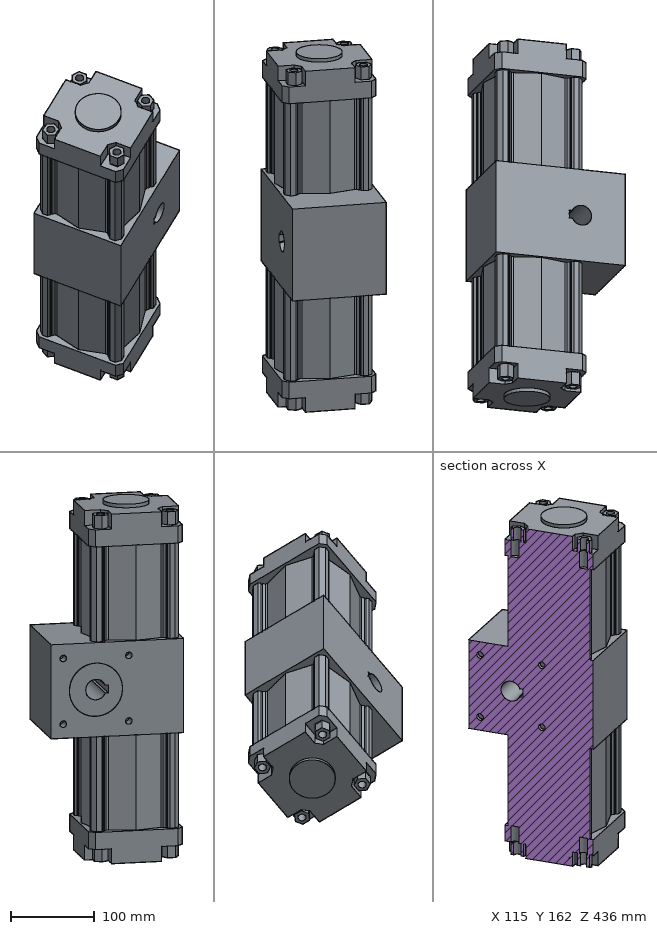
import cadquery as cq
import math


body_width = 115.0
body_height = body_width
body_length = 162.0
body_front = -body_width / 2

bore_y = 49.5
bore_diameter = 25.0
keyway_width = 9.5
keyway_reach = 15.3
recess_diameter = 65.0
recess_depth = 1.0
mount_spacing = 80.2
mount_diameter = 8.0
mount_depth = 17.5

total_height = 436.0
boss_diameter = 55.0
boss_height = 4.5
cap_height = 39.2
cap_chamfer = 7.0
pocket_size = 27.0
pocket_depth = 18.5
pocket_chamfer = 7.5

nut_sides = 6
nut_corners = 19.5
nut_height = 16.0
nut_bore = 9.5
rod_hole_diameter = 10.0
rod_offset = 44.5
nut_offset = 41.5

ridge_offset = 55.0
valley_across = 32.3
valley_offset = 46.5
lug_foot_across = 35.0
lug_foot_offset = 47.0
lug_half_width = 53.5
lug_chamfer = 5.5
groove_width = 1.7
groove_depth = 1.5

body_top = body_height / 2
cap_top = total_height / 2 - boss_height
cap_bottom = cap_top - cap_height
tube_length = cap_bottom - body_top
pocket_floor = cap_top - pocket_depth
lug_flat_start = lug_foot_across + lug_half_width - lug_foot_offset
quarter_turns = (0, 90, 180, 270)


def turned(point, angle):
    """Rotate an (x, y) point about the cylinder axis by an angle in degrees."""
    x, y = point
    c = math.cos(math.radians(angle))
    s = math.sin(math.radians(angle))
    return (x * c - y * s, x * s + y * c)


def make_housing():
    housing = cq.Workplane("XY").box(body_width, body_length, body_height, centered=(True, False, True))
    housing = housing.translate((0, body_front, 0))
    face = cq.Workplane(cq.Plane((-body_width / 2, bore_y, 0), xDir=(0, -1, 0), normal=(-1, 0, 0)))
    recess = face.circle(recess_diameter / 2).extrude(-recess_depth)
    bore = face.circle(bore_diameter / 2).extrude(-body_width)
    keyway = face.center(keyway_reach / 2, 0).rect(keyway_reach, keyway_width).extrude(-body_width)
    mounts = (
        face.rect(mount_spacing, mount_spacing, forConstruction=True)
        .vertices()
        .circle(mount_diameter / 2)
        .extrude(-mount_depth)
    )
    return housing.cut(recess).cut(bore).cut(keyway).cut(mounts)


def make_tube():
    half_side = [
        (ridge_offset, 0),
        (valley_offset, valley_across),
        (lug_foot_offset, lug_foot_across),
        (lug_half_width, lug_flat_start),
        (lug_half_width, lug_half_width - lug_chamfer),
    ]
    mirrored_half = [(y, x) for x, y in reversed(half_side[1:])]
    outline = [turned(p, a) for a in quarter_turns for p in half_side + mirrored_half]
    tube = cq.Workplane("XY", origin=(0, 0, body_top)).polyline(outline).close().extrude(tube_length)

    flank_x = (lug_foot_offset + lug_half_width) / 2
    flank_y = (lug_foot_across + lug_flat_start) / 2
    groove = cq.Workplane("XY").box(2 * groove_depth, groove_width, tube_length, centered=(True, True, False))
    upper_groove = groove.rotate((0, 0, 0), (0, 0, 1), -45).translate((flank_x, flank_y, body_top))
    groove_pair = upper_groove.union(upper_groove.mirror("XZ"))
    for angle in quarter_turns:
        tube = tube.cut(groove_pair.rotate((0, 0, 0), (0, 0, 1), angle))
    return tube


def make_cap():
    cap = (
        cq.Workplane("XY", origin=(0, 0, cap_bottom))
        .rect(body_width, body_width)
        .extrude(cap_height)
        .edges("|Z")
        .chamfer(cap_chamfer)
    )
    boss = cq.Workplane("XY", origin=(0, 0, cap_top)).circle(boss_diameter / 2).extrude(boss_height)
    pocket = (
        cq.Workplane("XY", origin=(body_width / 2, body_width / 2, pocket_floor))
        .rect(2 * pocket_size, 2 * pocket_size)
        .extrude(pocket_depth)
        .edges("|Z")
        .chamfer(pocket_chamfer)
    )
    rod_hole = (
        cq.Workplane("XY", origin=(rod_offset, rod_offset, cap_bottom))
        .circle(rod_hole_diameter / 2)
        .extrude(pocket_floor - cap_bottom)
    )
    nut = (
        cq.Workplane("XY", origin=(nut_offset, rod_offset, pocket_floor))
        .transformed(rotate=(0, 0, 90))
        .polygon(nut_sides, nut_corners)
        .circle(nut_bore / 2)
        .extrude(nut_height)
    )
    cap = cap.union(boss)
    corner_cut = pocket.union(rod_hole)
    for angle in quarter_turns:
        cap = cap.cut(corner_cut.rotate((0, 0, 0), (0, 0, 1), angle))
        cap = cap.union(nut.rotate((0, 0, 0), (0, 0, 1), angle))
    return cap


upper_cylinder = make_tube().union(make_cap())
lower_cylinder = upper_cylinder.mirror("XY")
result = make_housing().union(upper_cylinder).union(lower_cylinder)